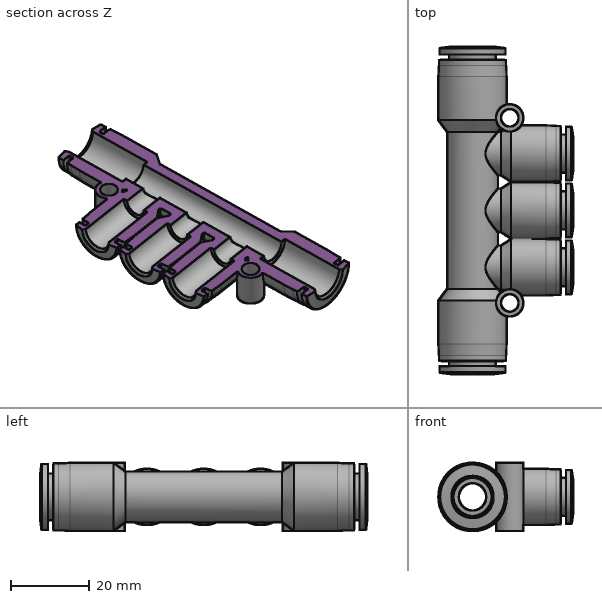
import cadquery as cq

run_half_length = 41.8
run_tube_dia = 13.0
run_shoulder_start = 20.0
run_shoulder_end = 23.0

branch_reach = 25.7
branch_count = 3
branch_pitch = 14.5
branch_tube_dia = 11.2
branch_shoulder_start = 7.3
branch_shoulder_end = 9.85

run_body_dia = 17.5
run_lip_dia = 17.2
run_neck_dia = 12.0
run_collar_dia = 16.9
run_mouth_dia = 10.8
run_socket_dia = 9.7
run_passage_dia = 6.9

branch_body_dia = 14.46
branch_lip_dia = 14.2
branch_neck_dia = 9.8
branch_collar_dia = 13.8
branch_mouth_dia = 8.8
branch_socket_dia = 7.7
branch_passage_dia = 5.5

run_neck_start = 2.1
run_lip_edge = 3.3
run_lip_back = 4.8
run_taper_back = 7.7

branch_neck_start = 1.9
branch_lip_edge = 3.1
branch_lip_back = 4.4
branch_taper_back = 6.95

face_slope_drop = 0.35
rim_chamfer = 0.2
lip_bevel_width = 0.9
lip_bevel_drop = 0.2
mouth_flare_depth = 0.3
mouth_depth = 0.8

post_dia = 7.0
post_hole_dia = 4.4
post_height = run_body_dia
post_x = 9.5
post_y = 23.6


def fitting_outline(tip, tube_dia, shoulder_start, shoulder_end, body_dia, lip_dia, neck_dia,
                    collar_dia, mouth_dia, neck_start, lip_edge, lip_back, taper_back):
    """(radius, distance) points of a push-in pipe, from its tube to the mouth at the tip."""
    collar_radius = collar_dia / 2
    rim = tip - face_slope_drop
    return [
        (tube_dia / 2, shoulder_start),
        (body_dia / 2, shoulder_end),
        (body_dia / 2, tip - taper_back),
        (lip_dia / 2, tip - lip_back),
        (lip_dia / 2, tip - lip_edge - lip_bevel_drop),
        (lip_dia / 2 - lip_bevel_width, tip - lip_edge),
        (neck_dia / 2, tip - lip_edge),
        (neck_dia / 2, tip - neck_start),
        (collar_radius, tip - neck_start),
        (collar_radius, rim - rim_chamfer),
        (collar_radius - rim_chamfer, rim),
        (mouth_dia / 2, tip),
    ]


def bore_outline(tip, socket_bottom, mouth_dia, socket_dia, passage_dia):
    """(radius, distance) points of a flow passage, tube socket and flared mouth."""
    flare_dia = (mouth_dia + socket_dia) / 2
    return [
        (passage_dia / 2, socket_bottom),
        (socket_dia / 2, socket_bottom),
        (socket_dia / 2, tip - mouth_depth),
        (flare_dia / 2, tip - mouth_flare_depth),
        (mouth_dia / 2, tip),
    ]


def revolved(outline):
    """Solid of revolution about Y bounded by the outline and its flat ends."""
    start = outline[0][1]
    end = outline[-1][1]
    profile = [(0, start), *outline, (0, end)]
    return cq.Workplane("XY").polyline(profile).close().revolve(360, (0, 0), (0, 1))


def double_ended(outline):
    """Solid of revolution about Y with the outline at both ends and its seam on the plain -X side."""
    mirrored = [(radius, -distance) for radius, distance in reversed(outline)]
    return revolved(mirrored + outline).rotate((0, 0, 0), (0, 1, 0), 180)


def single_ended(outline):
    """Solid of revolution from the origin along +Y with the outline at its tip."""
    root = (outline[0][0], 0)
    return revolved([root] + outline)


def branch_row(pipe):
    """Turn a pipe along +Y onto +X and repeat it at the branch positions."""
    turned = pipe.rotate((0, 0, 0), (0, 0, 1), -90)
    first_offset = -(branch_count - 1) / 2 * branch_pitch
    offsets = [first_offset + index * branch_pitch for index in range(branch_count)]
    return [turned.translate((0, offset, 0)) for offset in offsets]


def post_cylinders(diameter):
    """Upright cylinders at both mounting posts."""
    base = cq.Workplane("XY").workplane(offset=-post_height / 2)
    cylinder = base.circle(diameter / 2).extrude(post_height)
    return [cylinder.translate((post_x, side * post_y, 0)) for side in (-1, 1)]


run_outline = fitting_outline(
    run_half_length, run_tube_dia, run_shoulder_start, run_shoulder_end, run_body_dia, run_lip_dia,
    run_neck_dia, run_collar_dia, run_mouth_dia, run_neck_start, run_lip_edge, run_lip_back,
    run_taper_back,
)
branch_outline = fitting_outline(
    branch_reach, branch_tube_dia, branch_shoulder_start, branch_shoulder_end, branch_body_dia,
    branch_lip_dia, branch_neck_dia, branch_collar_dia, branch_mouth_dia, branch_neck_start,
    branch_lip_edge, branch_lip_back, branch_taper_back,
)
run_bore = bore_outline(
    run_half_length, run_shoulder_end, run_mouth_dia, run_socket_dia, run_passage_dia,
)
branch_bore = bore_outline(
    branch_reach, branch_shoulder_end, branch_mouth_dia, branch_socket_dia, branch_passage_dia,
)

result = double_ended(run_outline)
for addition in branch_row(single_ended(branch_outline)) + post_cylinders(post_dia):
    result = result.union(addition)

result = result.cut(double_ended(run_bore))
for opening in branch_row(single_ended(branch_bore)) + post_cylinders(post_hole_dia):
    result = result.cut(opening)